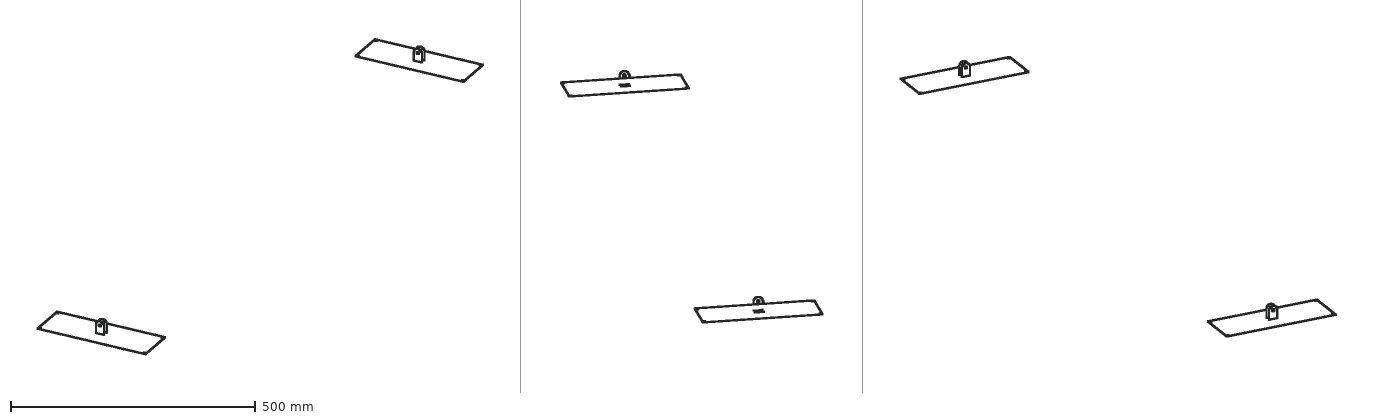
import cadquery as cq

screw_hole_diameter = 2.2
screw_hole_inset = 4.8
screw_hole_spacing_y = 77.0

overall_length = 1487.0
overall_height = 30.0
plate_length = 250.0
plate_width = screw_hole_spacing_y + 2 * screw_hole_inset
plate_thickness = 0.5
plate_offset = (overall_length - plate_width) / 2
screw_hole_spacing_x = plate_length - 2 * screw_hole_inset

lug_width = 20.0
lug_thickness = plate_thickness
lug_spacing = 11.5
lug_radius = lug_width / 2
lug_eye_height = overall_height - lug_radius
lug_eye_diameter = 5.0


def make_plate():
    """Flat plate resting on Z = 0 with a screw hole near each corner."""
    return (
        cq.Workplane("XY")
        .box(plate_length, plate_width, plate_thickness, centered=(True, True, False))
        .faces(">Z")
        .workplane()
        .rect(screw_hole_spacing_x, screw_hole_spacing_y, forConstruction=True)
        .vertices()
        .hole(screw_hole_diameter)
    )


def make_lug(center_y):
    """Upright lug with a round top and a concentric eye, centred on center_y."""
    profile = (
        cq.Workplane("XZ", origin=(0, center_y + lug_thickness / 2, 0))
        .moveTo(-lug_radius, plate_thickness)
        .lineTo(lug_radius, plate_thickness)
        .lineTo(lug_radius, lug_eye_height)
        .threePointArc((0, overall_height), (-lug_radius, lug_eye_height))
        .close()
        .moveTo(0, lug_eye_height)
        .circle(lug_eye_diameter / 2)
    )
    return profile.extrude(lug_thickness)


def make_bracket(center_y):
    """One plate and its two lugs as a single solid, centred on center_y."""
    bracket = make_plate()
    for side in (-1, 1):
        bracket = bracket.union(make_lug(side * lug_spacing / 2))
    return bracket.translate((0, center_y, 0))


brackets = [make_bracket(side * plate_offset) for side in (-1, 1)]

result = cq.Compound.makeCompound([bracket.val() for bracket in brackets])